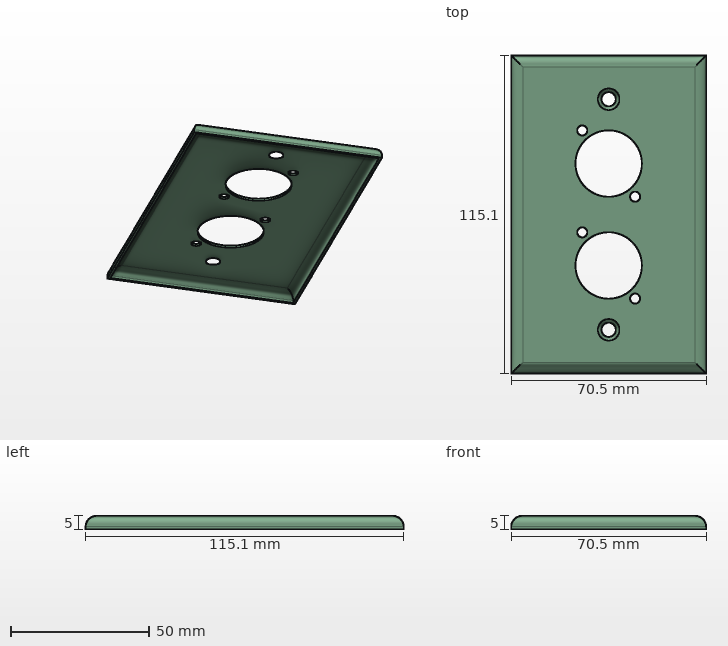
import cadquery as cq

width = 70.5
length = 115.1
height = 5.0
wall = 0.9

rim_height = 1.0
edge_radius = 4.1

connector_diameter = 23.9
connector_pitch = 36.8
fixing_diameter = 3.6
fixing_offset_x = 9.5
fixing_offset_y = 12.0

screw_pitch = 83.3
screw_diameter = 5.1
countersink_diameter = 7.8


def rounded_block(block_width, block_length, block_height, straight_height, radius):
    """Block whose upper edges follow an arc tangent to the top, mitred at the corners."""
    def border_profile(span):
        half = span / 2
        drop = block_height - straight_height
        inset = (radius**2 - (radius - drop)**2) ** 0.5
        middle = radius / 2**0.5
        flat = half - inset
        center_z = block_height - radius
        return flat, half, middle, center_z

    def extrusion(plane, span, depth):
        flat, half, middle, center_z = border_profile(span)
        return (
            cq.Workplane(plane)
            .moveTo(-half, 0)
            .lineTo(half, 0)
            .lineTo(half, straight_height)
            .threePointArc((flat + middle, center_z + middle), (flat, block_height))
            .lineTo(-flat, block_height)
            .threePointArc((-flat - middle, center_z + middle), (-half, straight_height))
            .close()
            .extrude(depth / 2, both=True)
        )

    across = extrusion("XZ", block_width, block_length)
    along = extrusion("YZ", block_length, block_width)
    return across.intersect(along)


def drill(points, diameter):
    """Vertical cutters through the full height."""
    return cq.Workplane("XY").pushPoints(points).circle(diameter / 2).extrude(height)


shell = rounded_block(width, length, height, rim_height, edge_radius)
cavity = rounded_block(
    width - 2 * wall, length - 2 * wall, height - wall, rim_height, edge_radius - wall
)
result = shell.cut(cavity)

for center_y in (-connector_pitch / 2, connector_pitch / 2):
    fixing_points = [
        (-fixing_offset_x, center_y + fixing_offset_y),
        (fixing_offset_x, center_y - fixing_offset_y),
    ]
    result = result.cut(drill([(0, center_y)], connector_diameter))
    result = result.cut(drill(fixing_points, fixing_diameter))

for center_y in (-screw_pitch / 2, screw_pitch / 2):
    countersink = cq.Solid.makeCone(
        screw_diameter / 2,
        countersink_diameter / 2,
        wall,
        pnt=cq.Vector(0, center_y, height - wall),
        dir=cq.Vector(0, 0, 1),
    )
    result = result.cut(cq.Workplane(obj=countersink))